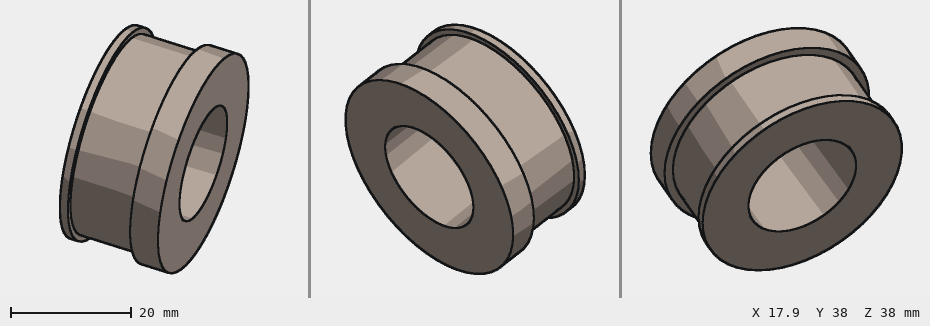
import cadquery as cq

length = 17.9
collar_diameter = 38.0
collar_width = 5.0
lip_diameter = 37.0
lip_width = 1.5
neck_diameter = 34.9
bore_diameter = 20.0

neck_width = length - lip_width - collar_width


def disc(start, width, diameter):
    """Solid disc about the X axis, from start towards +X."""
    return cq.Workplane("YZ", origin=(start, 0, 0)).circle(diameter / 2).extrude(width)


lip = disc(0, lip_width, lip_diameter)
neck = disc(lip_width, neck_width, neck_diameter)
collar = disc(lip_width + neck_width, collar_width, collar_diameter)

bore = disc(0, length, bore_diameter)

result = lip.union(neck).union(collar).cut(bore)